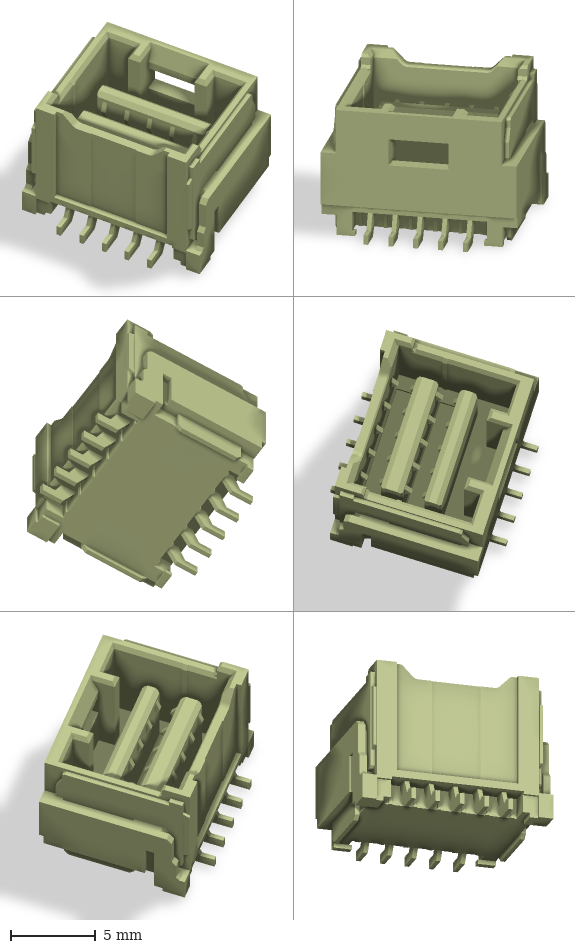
import cadquery as cq

overall_width = 11.8
lead_span = 10.85
tower_top = 8.82

body_half_width = 5.0
body_half_depth = 4.57
wall_top = 8.0
foot_bottom = 0.05
underside = 0.33
overhang_bottom = 1.57

tower_back = -2.78
tower_edge = 0.18
tower_chamfer_bottom = 8.18

cavity_floor = 2.0
cavity_half_width = 4.43
cavity_back = 3.67
cavity_front = -3.61
lead_in = 0.22
lead_in_back = 0.17
lead_in_bottom = 7.73
front_lead_in = 0.35
front_lead_in_bottom = 8.37
trough_floor = 1.8
trough_front = -3.46
trough_chamfer = 0.13
guide_rib_y = -0.77
guide_rib_length = 0.29
guide_rib_height = 0.05

key_inner_x = 1.8
key_outer_x = 2.6
key_tip_y = 2.65
latch_ramp_y = 4.22
latch_ramp_bottom = 6.94
window_top = 6.4
window_bottom = 4.76

recess_half_width = 3.75
recess_bottom = 2.02
recess_depth = 0.31
centre_half_width = 1.5
centre_extra_depth = 0.05
notch_top_half_width = 3.37
notch_bottom_half_width = 2.55
notch_fillet = 0.5
notch_lip_chamfer = 0.09
notch_lip_taper = -45

blade_half_width = 3.58
blade_top = 6.3
blade_chamfer = 0.31
blade_end_chamfer = 0.12
blade_chamfer_height = 0.25
blade_foot_height = 0.15
rear_blade_front_flare = 0.14
front_blade_front_flare = 0.17
front_blade_back_flare = 0.09
rear_blade_back = 1.54
rear_blade_front = 0.47
front_blade_back = -0.86
front_blade_front = -2.2
contact_width = 0.28
contact_tip_z = 5.83
contact_bulge_z = 5.24
contact_root_z = 4.6
front_contact_reach = 0.25
back_contact_reach = 0.43

contact_pitch = 1.5
contact_count = 5
front_foot_height = 0.67
back_foot_height = 0.58
lead_heel_top = 4.55
lead_heel_bottom = 4.0
lead_rise_top = 4.1
lead_rise_bottom = 3.05

bay_half_width = 4.07
bay_inner_y = 3.18
bay_rib_width = 0.17
bay_rib_flare = 0.29
bay_rib_flare_height = 0.1
bay_rib_depth = 0.1
corner_setback = 0.2
corner_step_top = 1.4
back_foot_inner_x = 3.89
foot_inner_x = 4.52
back_undercut = 0.28
back_undercut_top = 2.0
front_foot_end = -bay_inner_y
back_foot_start = 3.85

wing_half_width = overall_width / 2
wing_inner_x = 5.45
wing_top = 5.27
wing_skirt_bottom = 1.3
wing_front = -3.75
wing_chamfer = 0.31
inner_front = -3.5
inner_chamfer = 0.62
leg_front = -4.03
leg_foot_chamfer = 0.2
leg_step_z = 2.9
skirt_chamfer = 0.37
leg_back = -2.64
slot_back = -2.06
slot_top = 3.57

plate_outer_x = 5.28
plate_top = 7.8
plate_bottom = 2.13
plate_bottom_chamfer = 0.15
plate_front = -4.2
plate_step_y = -3.35
plate_horn_top = 8.17
plate_top_back = 3.36
plate_corner_length = 0.18
plate_corner_height = 0.12
plate_taper_top = 7.23
plate_taper_bottom = 6.45
plate_back = 3.76
plate_neck_back = 3.31
plate_neck_top = 5.45
plate_notch_back = -1.13
plate_notch_front = -3.27
plate_lug_inset = 0.05
plate_lug_height = 0.41
plate_lug_top = 7.27
plate_lug_bottom = 3.27
plate_lug_slope = 0.16
plate_tab_back = 3.22
plate_tab_front = -1.17
plate_tab_chamfer = 0.28


def box(x0, x1, y0, y1, z0, z1):
    return cq.Workplane("XY").box(x1 - x0, y1 - y0, z1 - z0, centered=False).translate((x0, y0, z0))


def side_profile(points, x0, x1):
    """Extrude a closed (y, z) outline from x0 to x1."""
    return cq.Workplane("YZ").polyline(points).close().extrude(x1 - x0).translate((x0, 0, 0))


def front_profile(points, y0, y1):
    """Extrude a closed (x, z) outline from y0 to y1."""
    return cq.Workplane("XZ").polyline(points).close().extrude(y0 - y1).translate((0, y0, 0))


def both_ends(shape):
    return shape.union(shape.mirror("YZ"))


contact_xs = [contact_pitch * (i - (contact_count - 1) / 2) for i in range(contact_count)]


def make_shell():
    outline = [
        (-body_half_depth, foot_bottom),
        (body_half_depth, foot_bottom),
        (body_half_depth, wall_top),
        (tower_back + tower_edge, wall_top),
        (tower_back, tower_chamfer_bottom),
        (tower_back, tower_top - tower_edge),
        (tower_back - tower_edge, tower_top),
        (-body_half_depth, tower_top),
    ]
    return side_profile(outline, -body_half_width, body_half_width)


def make_cavity():
    well = box(-cavity_half_width, cavity_half_width, cavity_front, cavity_back, cavity_floor, tower_top)

    mouth_half_width = cavity_half_width + lead_in
    mouth = (
        cq.Workplane("XY", origin=(0, (tower_back + cavity_back) / 2, lead_in_bottom))
        .rect(2 * cavity_half_width, cavity_back - tower_back)
        .workplane(offset=wall_top - lead_in_bottom)
        .center(0, lead_in_back / 2)
        .rect(2 * mouth_half_width, cavity_back + lead_in_back - tower_back)
        .loft(ruled=True)
    )

    slope = front_lead_in / (tower_top - front_lead_in_bottom)
    bevel_height = wall_top - lead_in_bottom
    front_at_top = cavity_front - front_lead_in
    front_at_bevel = front_at_top + slope * bevel_height
    front_slope = side_profile(
        [
            (cavity_front, front_lead_in_bottom),
            (front_at_top, tower_top),
            (cavity_front, tower_top),
        ],
        -cavity_half_width,
        cavity_half_width,
    )
    tower_back_edge = tower_back + tower_edge
    tower_mouth = (
        cq.Workplane("XY", origin=(0, (front_at_bevel + tower_back_edge) / 2, tower_top - bevel_height))
        .rect(2 * cavity_half_width, tower_back_edge - front_at_bevel)
        .workplane(offset=bevel_height)
        .center(0, (front_at_top - front_at_bevel) / 2)
        .rect(2 * mouth_half_width, tower_back_edge - front_at_top)
        .loft(ruled=True)
    )
    trough = box(
        -blade_half_width, blade_half_width, trough_front, rear_blade_back, trough_floor, cavity_floor
    )
    floor_bevel = side_profile(
        [
            (cavity_front, cavity_floor),
            (cavity_front, cavity_floor + trough_chamfer),
            (trough_front, cavity_floor),
        ],
        -blade_half_width,
        blade_half_width,
    )
    well = well.cut(floor_bevel)
    return well.union(mouth).union(front_slope).union(tower_mouth).union(trough)


def make_key_rib():
    """Keying rib at +X with a bevelled top, standing on the cavity floor."""
    root_y = cavity_back + lead_in_back
    column = box(key_inner_x, key_outer_x, key_tip_y, root_y, cavity_floor, wall_top)
    bevel = wall_top - lead_in_bottom
    column = column.faces(">Z").edges("<Y").chamfer(bevel, lead_in)
    slim = front_profile(
        [
            (key_inner_x, cavity_floor),
            (key_outer_x, cavity_floor),
            (key_outer_x, lead_in_bottom),
            (key_outer_x - lead_in, wall_top),
            (key_inner_x + lead_in_back, wall_top),
            (key_inner_x, lead_in_bottom),
        ],
        key_tip_y,
        root_y,
    )
    return column.intersect(slim)


def make_guide_rib():
    """Upright rib on the cavity wall at +X, bevelled like the mouth beside it."""
    tip = cavity_half_width - guide_rib_height
    root = cavity_half_width + lead_in
    return front_profile(
        [
            (tip, cavity_floor),
            (tip, lead_in_bottom),
            (root - guide_rib_height / 2, wall_top),
            (root, wall_top),
            (root, cavity_floor),
        ],
        guide_rib_y - guide_rib_length / 2,
        guide_rib_y + guide_rib_length / 2,
    )


def make_latch_window():
    ramp = side_profile(
        [
            (cavity_back, latch_ramp_bottom),
            (latch_ramp_y, wall_top),
            (cavity_back, wall_top),
        ],
        -key_inner_x - lead_in_back,
        key_inner_x + lead_in_back,
    )
    bevelled_bay = front_profile(
        [
            (-key_inner_x, latch_ramp_bottom),
            (key_inner_x, latch_ramp_bottom),
            (key_inner_x, lead_in_bottom),
            (key_inner_x + lead_in_back, wall_top),
            (-key_inner_x - lead_in_back, wall_top),
            (-key_inner_x, lead_in_bottom),
        ],
        cavity_back,
        latch_ramp_y,
    )
    ramp = ramp.intersect(bevelled_bay)
    window = box(-key_inner_x, key_inner_x, cavity_back, body_half_depth, window_bottom, window_top)
    return ramp.union(window)


def make_front_recess():
    face = -body_half_depth
    sides = box(-recess_half_width, recess_half_width, face, face + recess_depth, recess_bottom, tower_top)
    centre_depth = recess_depth + centre_extra_depth
    centre = box(
        -centre_half_width, centre_half_width, face, face + centre_depth, recess_bottom, tower_top
    )
    return sides.union(centre)


def make_front_notch():
    notch = front_profile(
        [
            (-notch_bottom_half_width, wall_top),
            (notch_bottom_half_width, wall_top),
            (notch_top_half_width, tower_top),
            (-notch_top_half_width, tower_top),
        ],
        -body_half_depth,
        cavity_front - notch_lip_chamfer,
    )
    notch = notch.edges("|Y").edges("<Z").fillet(notch_fillet)
    inner_end = notch.faces(">Y").workplane().add(notch.faces(">Y").wires()).toPending()
    lip_flare = inner_end.extrude(notch_lip_chamfer, combine=False, taper=notch_lip_taper)
    return notch.union(lip_flare)


def make_blade(back, front, back_flare, front_flare):
    """Contact blade with a chamfered top, flaring at its foot by the widths given."""
    half_width = blade_half_width
    foot_top = trough_floor + blade_foot_height
    shoulder = blade_top - blade_chamfer_height
    core = box(-half_width, half_width, front, back, trough_floor, blade_top)
    core = core.edges("|Z").chamfer(blade_end_chamfer)
    crown = side_profile(
        [
            (back, trough_floor),
            (back, shoulder),
            (back - blade_chamfer, blade_top),
            (front + blade_chamfer, blade_top),
            (front, shoulder),
            (front, trough_floor),
        ],
        -half_width,
        half_width,
    )
    foot = side_profile(
        [
            (back + back_flare, trough_floor),
            (back, foot_top),
            (front, foot_top),
            (front - front_flare, trough_floor),
        ],
        -half_width,
        half_width,
    )
    return core.intersect(crown).union(foot)


def make_contact(x, face, reach):
    """Spring contact standing out of a wall at y = face by reach (signed)."""
    return side_profile(
        [
            (face - reach / 2, contact_root_z),
            (face - reach / 2, contact_tip_z),
            (face, contact_tip_z),
            (face + reach, contact_bulge_z),
            (face, contact_root_z),
        ],
        x - contact_width / 2,
        x + contact_width / 2,
    )


def make_lead(x, side, foot_height):
    """Gull-wing lead; side is -1 at the front and +1 at the back."""
    tip = lead_span / 2
    outline = [
        (tip, 0),
        (tip, foot_height),
        (lead_heel_top, foot_height),
        (lead_rise_top, overhang_bottom),
        (lead_rise_bottom, overhang_bottom),
        (lead_heel_bottom, 0),
    ]
    return side_profile(
        [(side * y, z) for y, z in outline], x - contact_width / 2, x + contact_width / 2
    )


def make_bay():
    bay = box(
        -bay_half_width, bay_half_width, -body_half_depth, -bay_inner_y, foot_bottom, overhang_bottom
    )
    for i in range(contact_count + 1):
        x = contact_pitch * (i - contact_count / 2)
        half = bay_rib_width / 2
        flare = bay_rib_flare / 2
        rib = front_profile(
            [
                (x - flare, underside),
                (x + flare, underside),
                (x + half, underside + bay_rib_flare_height),
                (x + half, overhang_bottom),
                (x - half, overhang_bottom),
                (x - half, underside + bay_rib_flare_height),
            ],
            -bay_inner_y - bay_rib_depth,
            -bay_inner_y,
        )
        bay = bay.cut(rib)
    return bay


def make_wing():
    """Wing at +X: inner layer against the plate, outer layer with the front leg."""
    back = body_half_depth
    front = -body_half_depth
    outer = side_profile(
        [
            (front, foot_bottom),
            (front, overhang_bottom),
            (leg_front - leg_foot_chamfer, overhang_bottom),
            (leg_front, overhang_bottom + leg_foot_chamfer),
            (leg_front, leg_step_z),
            (wing_front, leg_step_z + wing_front - leg_front),
            (wing_front, wing_top - wing_chamfer),
            (wing_front + wing_chamfer, wing_top),
            (back, wing_top),
            (back, foot_bottom),
        ],
        wing_inner_x,
        wing_half_width,
    )
    inner = side_profile(
        [
            (front, foot_bottom),
            (front, overhang_bottom),
            (inner_front, overhang_bottom),
            (inner_front, wing_top - inner_chamfer),
            (inner_front + inner_chamfer, wing_top),
            (back, wing_top),
            (back, foot_bottom),
        ],
        body_half_width,
        wing_inner_x,
    )
    slot = box(wing_inner_x, wing_half_width, leg_back, slot_back, foot_bottom, slot_top)
    skirt = box(wing_inner_x, wing_half_width, leg_back, back, foot_bottom, wing_skirt_bottom)
    inner_skirt = side_profile(
        [
            (leg_back, foot_bottom),
            (leg_back, wing_skirt_bottom - skirt_chamfer),
            (leg_back + skirt_chamfer, wing_skirt_bottom),
            (back, wing_skirt_bottom),
            (back, foot_bottom),
        ],
        body_half_width,
        wing_inner_x,
    )
    return outer.union(inner).cut(slot).cut(skirt).cut(inner_skirt)


def make_plate():
    sheet = side_profile(
        [
            (plate_neck_back, plate_bottom),
            (plate_neck_back, plate_neck_top),
            (plate_back, plate_neck_top),
            (plate_back, plate_taper_bottom),
            (plate_top_back, plate_taper_top),
            (plate_top_back, plate_top - plate_corner_height),
            (plate_top_back - plate_corner_length, plate_top),
            (plate_step_y, plate_top),
            (plate_step_y, plate_horn_top),
            (plate_front, plate_horn_top),
            (plate_front, plate_bottom + plate_bottom_chamfer),
            (plate_front + plate_bottom_chamfer, plate_bottom),
        ],
        body_half_width,
        plate_outer_x,
    )
    notch_drop = inner_front + inner_chamfer - plate_notch_front
    notch = side_profile(
        [
            (plate_notch_back, plate_neck_top),
            (plate_notch_front, plate_neck_top),
            (plate_notch_front, wing_top - notch_drop),
            (inner_front + inner_chamfer, wing_top),
            (plate_notch_back, wing_top),
        ],
        body_half_width,
        plate_outer_x,
    )
    lug_tip = plate_front - plate_lug_height
    lug = side_profile(
        [
            (plate_front, plate_lug_top),
            (lug_tip, plate_lug_top - plate_lug_slope),
            (lug_tip, plate_lug_bottom + plate_lug_slope),
            (plate_front, plate_lug_bottom),
        ],
        body_half_width + plate_lug_inset,
        plate_outer_x - plate_lug_inset,
    )
    tab = side_profile(
        [
            (plate_tab_back, wing_skirt_bottom),
            (plate_tab_back, plate_tab_chamfer),
            (plate_tab_back - plate_tab_chamfer, 0),
            (plate_tab_front + plate_tab_chamfer, 0),
            (plate_tab_front, plate_tab_chamfer),
            (plate_tab_front, wing_skirt_bottom),
        ],
        body_half_width,
        plate_outer_x,
    )
    return sheet.cut(notch).union(lug).union(tab)


def make_board_side_cuts():
    """Clearances between the feet, behind the back wall and in front of the corners."""
    front = -body_half_depth
    back = body_half_depth - back_undercut
    width = wing_half_width
    under = box(-width, width, front_foot_end, back_foot_start, foot_bottom, underside)
    undercut = box(-width, width, back, body_half_depth, foot_bottom, back_undercut_top)
    corner = box(
        bay_half_width, body_half_width, front, front + corner_setback, foot_bottom, corner_step_top
    )
    foot_relief = box(bay_half_width, foot_inner_x, front, front_foot_end, foot_bottom, underside)
    return under.union(undercut).union(both_ends(corner)).union(both_ends(foot_relief))


def make_back_foot():
    """Inward extension of the back foot at +X."""
    back = body_half_depth - back_undercut
    return box(back_foot_inner_x, bay_half_width, back_foot_start, back, foot_bottom, underside)


def make_housing():
    housing = make_shell().cut(make_cavity())
    housing = housing.union(both_ends(make_key_rib())).cut(make_latch_window())
    housing = housing.cut(make_front_notch()).cut(make_front_recess())
    housing = housing.cut(make_bay()).cut(make_bay().mirror("XZ"))
    housing = housing.union(both_ends(make_wing())).cut(make_board_side_cuts())
    housing = housing.union(both_ends(make_back_foot()))
    housing = housing.union(both_ends(make_guide_rib()))
    rear_blade = make_blade(rear_blade_back, rear_blade_front, 0, rear_blade_front_flare)
    front_blade = make_blade(
        front_blade_back, front_blade_front, front_blade_back_flare, front_blade_front_flare
    )
    return housing.union(rear_blade).union(front_blade)


part = make_housing().union(both_ends(make_plate()))
for x in contact_xs:
    for face in (rear_blade_front, front_blade_front):
        part = part.union(make_contact(x, face, -front_contact_reach))
    for face in (front_blade_back, cavity_front):
        part = part.union(make_contact(x, face, back_contact_reach))
    part = part.union(make_lead(x, -1, front_foot_height))
    part = part.union(make_lead(x, 1, back_foot_height))

result = part